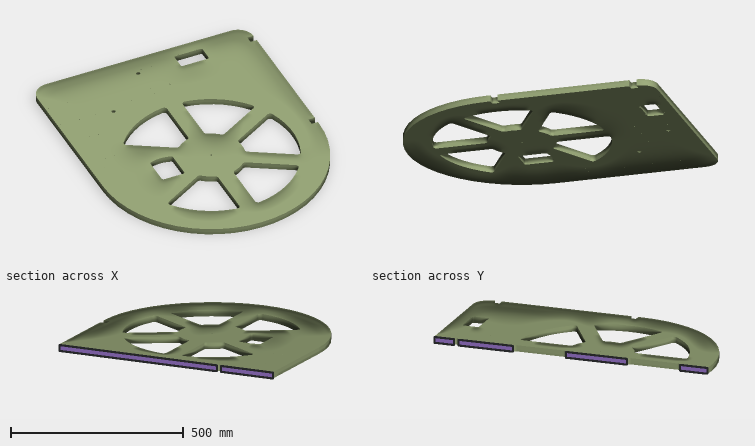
import cadquery as cq
import math

plate_thickness = 19.05
plate_length = 845.0
plate_width = 690.0
end_radius = plate_width / 2
left_x = end_radius - plate_length
corner_radius = 50.0

notch_width = 21.5
notch_depth = 20.0
notch_centres_x = (left_x + 60.0, -20.0)

window_outer_radius = 260.0
hub_radius = 100.0
spoke_width = 50.0
spoke_count = 6
window_fillet = 10.0
pocket_sector = 4

pocket_left_x = -41.0
pocket_right_x = 45.0
pocket_bulge = 7.0
pocket_height = 72.0
pocket_centre_y = -140.0
pocket_fillet = 6.0

side_window_centre = (-435.0, 140.0)
side_window_width = 50.0
side_window_height = 89.0
side_window_fillet = 5.0
side_window_screw_spacing = (57.0, 60.0)
side_window_screw_diameter = 2.0

centre_hole_diameter = 5.0
centre_hole_position = (0.0, 0.0)

large_hole_diameter = 12.0
large_hole_centres = ((-433.0, -31.5), (-302.75, -170.5))

wide_pattern_centre = (-353.25, -305.25)
wide_pattern_spacing = (83.5, 60.0)
wide_pattern_diameter = 2.5

tall_pattern_centre = (-340.0, -65.25)
tall_pattern_spacing = (24.0, 72.0)
tall_pattern_diameter = 2.0

bracket_pattern_centre = (-169.75, -269.0)
bracket_pattern_spacing = (109.5, 28.0)
bracket_pattern_diameter = 2.0

pair_x = -445.0
pair_spacing = 34.5
pair_diameter = 2.5

pilot_hole_diameter = 1.8
pilot_hole_centres = (
    (-299.0, -148.0),
    (-341.5, -178.0),
    (-267.0, -193.5),
    (-310.0, -223.5),
)

single_hole_diameter = 3.5
single_hole_centre = (-349.5, 30.5)


def make_plate():
    """Rectangle with two rounded -X corners and a half-round +X end."""
    block = (
        cq.Workplane("XY")
        .moveTo(0, end_radius)
        .lineTo(left_x, end_radius)
        .lineTo(left_x, -end_radius)
        .lineTo(0, -end_radius)
        .threePointArc((end_radius, 0), (0, end_radius))
        .close()
        .extrude(plate_thickness)
    )
    return block.edges("|Z and <X").fillet(corner_radius)


def make_notches():
    """Rectangular notches open to the +Y edge."""
    return (
        cq.Workplane("XY")
        .pushPoints([(x, end_radius) for x in notch_centres_x])
        .rect(notch_width, 2 * notch_depth)
        .extrude(plate_thickness)
    )


def make_wheel_window():
    """Window between the spoke along +X and the next one anticlockwise."""
    half_pitch = math.pi / spoke_count
    half_spoke = spoke_width / 2

    def corner(radius, side):
        angle = half_pitch - math.asin(half_spoke / radius)
        return (radius * math.cos(angle), side * radius * math.sin(angle))

    window = (
        cq.Workplane("XY")
        .moveTo(*corner(hub_radius, -1))
        .lineTo(*corner(window_outer_radius, -1))
        .threePointArc((window_outer_radius, 0), corner(window_outer_radius, 1))
        .lineTo(*corner(hub_radius, 1))
        .threePointArc((hub_radius, 0), corner(hub_radius, -1))
        .close()
        .extrude(plate_thickness)
        .edges("|Z")
        .fillet(window_fillet)
    )
    return window.rotate((0, 0, 0), (0, 0, 1), math.degrees(half_pitch))


def make_pocket():
    """Rectangular opening whose -X side is an outward arc."""
    top_y = pocket_centre_y + pocket_height / 2
    bottom_y = pocket_centre_y - pocket_height / 2
    return (
        cq.Workplane("XY")
        .moveTo(pocket_left_x, bottom_y)
        .lineTo(pocket_right_x, bottom_y)
        .lineTo(pocket_right_x, top_y)
        .lineTo(pocket_left_x, top_y)
        .threePointArc((pocket_left_x - pocket_bulge, pocket_centre_y), (pocket_left_x, bottom_y))
        .close()
        .extrude(plate_thickness)
        .edges("|Z")
        .fillet(pocket_fillet)
    )


def make_side_window():
    """Rectangular opening with rounded corners."""
    return (
        cq.Workplane("XY")
        .center(*side_window_centre)
        .rect(side_window_width, side_window_height)
        .extrude(plate_thickness)
        .edges("|Z")
        .fillet(side_window_fillet)
    )


def make_pins(centres, diameter):
    """Cylinders that cut round through holes at the given centres."""
    return (
        cq.Workplane("XY")
        .pushPoints(list(centres))
        .circle(diameter / 2)
        .extrude(plate_thickness)
    )


def rectangle_corners(centre, spacing):
    """Corner points of a rectangle around the centre."""
    return [
        (centre[0] + side_x * spacing[0] / 2, centre[1] + side_y * spacing[1] / 2)
        for side_x in (-1, 1)
        for side_y in (-1, 1)
    ]


result = make_plate().cut(make_notches())

wheel_window = make_wheel_window()
for sector in range(spoke_count):
    if sector != pocket_sector:
        turn = sector * 360 / spoke_count
        result = result.cut(wheel_window.rotate((0, 0, 0), (0, 0, 1), turn))

result = result.cut(make_pocket())
result = result.cut(make_side_window())

pair_centres = [(pair_x, side * pair_spacing / 2) for side in (-1, 1)]

hole_groups = (
    ([centre_hole_position], centre_hole_diameter),
    (large_hole_centres, large_hole_diameter),
    (rectangle_corners(side_window_centre, side_window_screw_spacing), side_window_screw_diameter),
    (rectangle_corners(wide_pattern_centre, wide_pattern_spacing), wide_pattern_diameter),
    (rectangle_corners(tall_pattern_centre, tall_pattern_spacing), tall_pattern_diameter),
    (rectangle_corners(bracket_pattern_centre, bracket_pattern_spacing), bracket_pattern_diameter),
    (pair_centres, pair_diameter),
    (pilot_hole_centres, pilot_hole_diameter),
    ([single_hole_centre], single_hole_diameter),
)
for centres, diameter in hole_groups:
    result = result.cut(make_pins(centres, diameter))